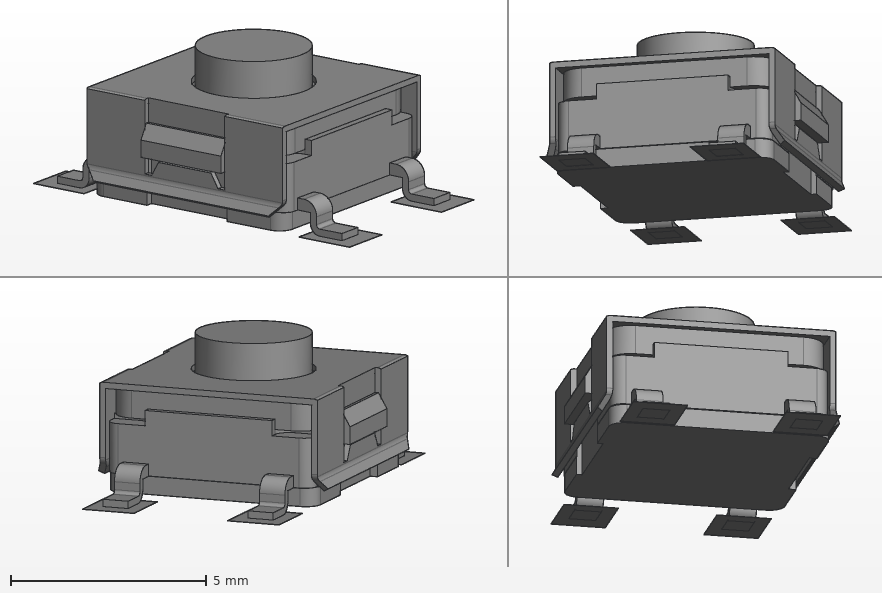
import cadquery as cq
import math

TOTAL_LENGTH = 10.0
TOTAL_WIDTH = 6.33
TOTAL_HEIGHT = 3.9

COVER_LENGTH = 6.2
COVER_WIDTH = 6.0
COVER_TOP = 2.95
SHEET = 0.16
EDGE_ROUND_WIDTH = 0.1
EDGE_ROUND_DROP = 0.03
BUTTON_HOLE_RADIUS = 1.6
COVER_INNER_HALF = COVER_WIDTH / 2 - SHEET
COVER_UNDERSIDE = COVER_TOP - SHEET

LIP_TILT = 30.0
BEND_START = 0.92
BEND_OUTER_RADIUS = 0.27
LIP_CUT_START = 0.89
LIP_CUT_RADIUS = 0.22

WINDOW_WIDTH = 2.53
WINDOW_BOTTOM = 0.96
TONGUE_BOTTOM_WIDTH = 2.1
TONGUE_TOP_WIDTH = 1.54
TONGUE_BEVEL = 0.1

BOSS_BOTTOM = 1.44
BOSS_FACE_TOP = 1.9
BOSS_TOP = 2.3
BOSS_LEDGE_HALF = 2.93

FOOT_LENGTH = 6.08
FOOT_FRONT = 2.9
FOOT_BACK = 2.85
FOOT_BOTTOM = 0.1
FOOT_RADIUS = 0.4
BODY_BOTTOM = 0.59
BODY_RADIUS = 0.34
BODY_TOP = BOSS_TOP
CORE_LENGTH = 5.8
CORE_BOTTOM = 2.03
CORE_RADIUS = 0.64
SLOT_HALF = 2.7

POCKET_FLOOR = 1.9
POCKET_INNER_HALF = 1.75
POCKET_DEPTH = 0.6
POCKET_RADIUS = 0.4

BUTTON_RADIUS = 1.5

LEAD_SPACING = 4.0
LEAD_WIDTH = 0.7
LEAD_END = 4.5
LEAD_THICKNESS = 0.2
LEAD_OUTER = 3.7
LEAD_TOP = 0.91
LEAD_SHOULDER_RADIUS = 0.4
LEAD_HEEL_RADIUS = 0.1
PAD_LENGTH = 1.6
PAD_WIDTH = 1.42
PAD_THICKNESS = 0.01


def block(length, width, bottom, top):
    return cq.Workplane("XY").workplane(offset=bottom).rect(length, width).extrude(top - bottom)


def both_walls(shape):
    """A shape on the -Y side together with its mirror image on the +Y side."""
    return shape.union(shape.mirror("XZ"))


def four_corners(shape):
    """The shape and its mirror images across the XZ plane, the YZ plane and both."""
    opposite = shape.mirror("XZ")
    return [shape, opposite, shape.mirror("YZ"), opposite.mirror("YZ")]


def extrude_along_x(outline, length):
    """Extrude a YZ outline symmetrically along X."""
    return outline.extrude(length / 2, both=True)


def cover_section():
    """Half outline of the bent sheet in the YZ plane, lip included."""
    tilt = math.radians(LIP_TILT)
    outer = COVER_WIDTH / 2
    inner = COVER_INNER_HALF
    inner_bend_radius = BEND_OUTER_RADIUS + SHEET
    bend_centre = outer + BEND_OUTER_RADIUS

    def on_bend(radius, angle):
        return (bend_centre - radius * math.cos(angle), BEND_START - radius * math.sin(angle))

    outer_mid = on_bend(BEND_OUTER_RADIUS, tilt / 2)
    outer_end = on_bend(BEND_OUTER_RADIUS, tilt)
    inner_mid = on_bend(inner_bend_radius, tilt / 2)
    inner_end = on_bend(inner_bend_radius, tilt)
    reach = TOTAL_WIDTH / 2 - outer_end[0]
    drop = reach / math.tan(tilt)
    lip_outer = (outer_end[0] + reach, outer_end[1] - drop)
    lip_inner = (inner_end[0] + reach, inner_end[1] - drop)

    return (
        cq.Workplane("YZ")
        .moveTo(0, COVER_TOP)
        .lineTo(outer - EDGE_ROUND_WIDTH, COVER_TOP)
        .tangentArcPoint((EDGE_ROUND_WIDTH, -EDGE_ROUND_DROP))
        .lineTo(outer, BEND_START)
        .threePointArc(outer_mid, outer_end)
        .lineTo(*lip_outer)
        .lineTo(*lip_inner)
        .lineTo(*inner_end)
        .threePointArc(inner_mid, (inner, BEND_START))
        .lineTo(inner, COVER_UNDERSIDE)
        .lineTo(0, COVER_UNDERSIDE)
        .close()
    )


def cover_front_shape():
    """Solid with the cover's outline in the XZ plane: its lower corners are cut at 45 degrees."""
    half = COVER_LENGTH / 2
    plate = (
        cq.Workplane("XZ", origin=(0, TOTAL_WIDTH, 0))
        .moveTo(-half, COVER_TOP)
        .lineTo(half, COVER_TOP)
        .lineTo(half, LIP_CUT_START)
        .lineTo(half - LIP_CUT_START, 0)
        .lineTo(LIP_CUT_START - half, 0)
        .lineTo(-half, LIP_CUT_START)
        .close()
        .extrude(2 * TOTAL_WIDTH)
    )
    return plate.edges("|Y").edges("not(>Z or <Z)").fillet(LIP_CUT_RADIUS)


def window():
    """Opening through the -Y wall, reaching up through the edge of the top plate."""
    return (
        block(WINDOW_WIDTH, SHEET, WINDOW_BOTTOM, COVER_TOP)
        .translate((0, SHEET / 2 - COVER_WIDTH / 2, 0))
    )


def tongue():
    """Tapered tongue in the window of the -Y wall, its outer top edge bevelled."""
    sheet = (
        cq.Workplane("XZ", origin=(0, -COVER_INNER_HALF, 0))
        .moveTo(-TONGUE_BOTTOM_WIDTH / 2, WINDOW_BOTTOM)
        .lineTo(TONGUE_BOTTOM_WIDTH / 2, WINDOW_BOTTOM)
        .lineTo(TONGUE_TOP_WIDTH / 2, BOSS_BOTTOM)
        .lineTo(-TONGUE_TOP_WIDTH / 2, BOSS_BOTTOM)
        .close()
        .extrude(SHEET)
    )
    return sheet.faces(">Z").edges("<Y").chamfer(TONGUE_BEVEL)


def inner_tab():
    """Tab hanging from the top plate behind the window, down to the top of the boss."""
    return (
        block(WINDOW_WIDTH, SHEET, BOSS_TOP, COVER_TOP)
        .translate((0, SHEET / 2 - COVER_INNER_HALF, 0))
    )


def make_cover():
    cover = both_walls(extrude_along_x(cover_section(), COVER_LENGTH))
    cover = cover.intersect(cover_front_shape())
    cover = cover.cut(both_walls(window()))
    cover = cover.union(both_walls(inner_tab())).union(both_walls(tongue()))
    hole = cq.Workplane("XY").circle(BUTTON_HOLE_RADIUS).extrude(TOTAL_HEIGHT)
    return cover.cut(hole)


def corner_pocket():
    """Pocket at the -X, -Y corner, open to the outside and running in under the core."""
    outer_x = -COVER_LENGTH / 2
    length = 2 * POCKET_DEPTH
    width = COVER_INNER_HALF - POCKET_INNER_HALF + 2 * POCKET_RADIUS
    return (
        block(length, width, POCKET_FLOOR, CORE_BOTTOM)
        .edges("|Z").fillet(POCKET_RADIUS)
        .translate((outer_x, -POCKET_INNER_HALF - width / 2, 0))
    )


def foot():
    """Lowest step of the base, reaching a little further to -Y than to +Y."""
    return (
        block(FOOT_LENGTH, FOOT_FRONT + FOOT_BACK, FOOT_BOTTOM, BODY_BOTTOM)
        .edges("|Z").fillet(FOOT_RADIUS)
        .translate((0, (FOOT_BACK - FOOT_FRONT) / 2, 0))
    )


def locking_boss():
    """Boss on the -Y side, with a narrow ledge, a slope and an upright face."""
    face = TOTAL_WIDTH / 2
    outline = (
        cq.Workplane("YZ")
        .moveTo(0, BOSS_BOTTOM)
        .lineTo(-face, BOSS_BOTTOM)
        .lineTo(-face, BOSS_FACE_TOP)
        .lineTo(-BOSS_LEDGE_HALF, BOSS_TOP)
        .lineTo(0, BOSS_TOP)
        .close()
    )
    return extrude_along_x(outline, WINDOW_WIDTH)


def tongue_slot():
    """Recess under the boss in the -Y face, open at the bottom."""
    depth = COVER_WIDTH / 2 - SLOT_HALF
    return (
        block(WINDOW_WIDTH, depth, FOOT_BOTTOM, BOSS_BOTTOM)
        .translate((0, -SLOT_HALF - depth / 2, 0))
    )


def lead_and_pad():
    """One S-shaped lead on the +X, +Y side with its solder pad."""
    inner_face = LEAD_OUTER - LEAD_THICKNESS
    foot_bottom = PAD_THICKNESS
    foot_top = LEAD_THICKNESS
    sole_radius = LEAD_HEEL_RADIUS + LEAD_THICKNESS
    diagonal = math.sqrt(0.5)
    shoulder_x = LEAD_OUTER - LEAD_SHOULDER_RADIUS
    shoulder_z = LEAD_TOP - LEAD_SHOULDER_RADIUS
    heel_x = LEAD_OUTER + LEAD_HEEL_RADIUS
    heel_z = foot_top + LEAD_HEEL_RADIUS
    sole_x = inner_face + sole_radius
    sole_z = foot_bottom + sole_radius
    root = COVER_LENGTH / 2 - LEAD_THICKNESS
    lead = (
        cq.Workplane("XZ", origin=(0, (LEAD_SPACING + LEAD_WIDTH) / 2, 0))
        .moveTo(root, LEAD_TOP)
        .lineTo(shoulder_x, LEAD_TOP)
        .threePointArc(
            (shoulder_x + LEAD_SHOULDER_RADIUS * diagonal, shoulder_z + LEAD_SHOULDER_RADIUS * diagonal),
            (LEAD_OUTER, shoulder_z),
        )
        .lineTo(LEAD_OUTER, heel_z)
        .threePointArc(
            (heel_x - LEAD_HEEL_RADIUS * diagonal, heel_z - LEAD_HEEL_RADIUS * diagonal),
            (heel_x, foot_top),
        )
        .lineTo(LEAD_END, foot_top)
        .lineTo(LEAD_END, foot_bottom)
        .lineTo(sole_x, foot_bottom)
        .threePointArc(
            (sole_x - sole_radius * diagonal, sole_z - sole_radius * diagonal),
            (inner_face, sole_z),
        )
        .lineTo(inner_face, BODY_BOTTOM)
        .lineTo(root, BODY_BOTTOM)
        .close()
        .extrude(LEAD_WIDTH)
    )
    pad = (
        block(PAD_LENGTH, PAD_WIDTH, 0, PAD_THICKNESS)
        .translate(((TOTAL_LENGTH - PAD_LENGTH) / 2, LEAD_SPACING / 2, 0))
    )
    return lead.union(pad)


def make_base():
    body_width = 2 * COVER_INNER_HALF
    base = block(COVER_LENGTH, body_width, BODY_BOTTOM, CORE_BOTTOM).edges("|Z").fillet(BODY_RADIUS)
    rim = block(COVER_LENGTH, 2 * POCKET_INNER_HALF, CORE_BOTTOM, BODY_TOP)
    core = block(CORE_LENGTH, body_width, CORE_BOTTOM, COVER_UNDERSIDE).edges("|Z").fillet(CORE_RADIUS)
    for pocket in four_corners(corner_pocket()):
        base = base.cut(pocket)
    base = base.union(foot()).union(rim).union(core)
    base = base.cut(both_walls(tongue_slot()))
    base = base.union(both_walls(locking_boss())).cut(both_walls(inner_tab()))
    for lead in four_corners(lead_and_pad()):
        base = base.union(lead)
    return base


def make_button():
    return (
        cq.Workplane("XY")
        .workplane(offset=COVER_UNDERSIDE)
        .circle(BUTTON_RADIUS)
        .extrude(TOTAL_HEIGHT - COVER_UNDERSIDE)
    )


cover = make_cover()
base = make_base()
button = make_button()

result = cq.Compound.makeCompound([cover.solids().val(), base.solids().val(), button.val()])